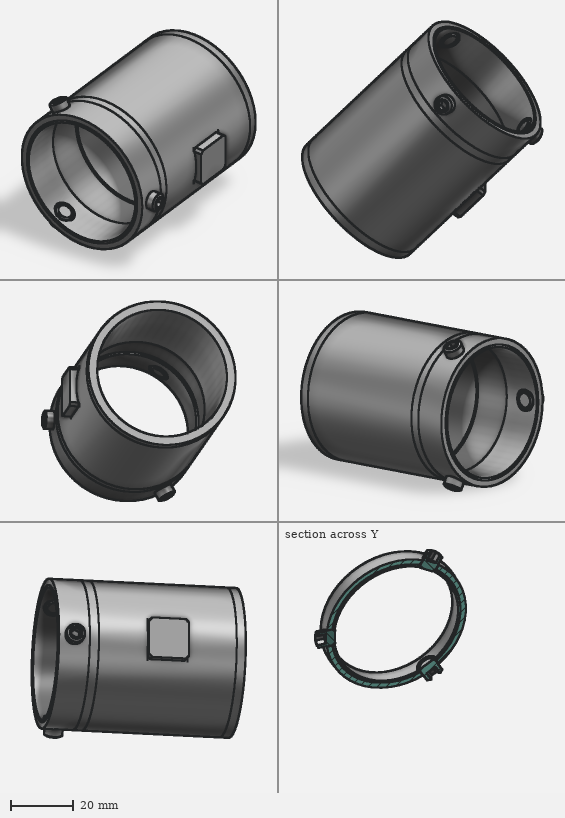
import cadquery as cq
import math

LENGTH = 61.0
OUTER_RADIUS = 24.15
SLEEVE_OUTER_RADIUS = 22.1
BORE_RADIUS = 21.3

COLLAR_LENGTH = 10.0
FLANGE_LENGTH = 3.0
REAR_SLEEVE_START = 26.2

SCREW_COUNT = 3
SCREW_RADIUS = 3.0
SCREW_LENGTH = 6.2
SCREW_TIP_DISTANCE = 27.2
SCREW_END_CHAMFER = 0.6
SCREW_CHAMFER_HEIGHT = 0.51
SCREW_CHAMFER_ANGLE = 30
SLEEVE_HOLE_RADIUS = 3.5
SCREW_Y = COLLAR_LENGTH / 2
SOCKET_ACROSS_FLATS = 3.0
SOCKET_DEPTH = 3.0
SOCKET_TURN = 30

PLATE_SIDE = 13.1
PLATE_CORNER = 1.05
PLATE_THICKNESS = 3.0
PLATE_SEAT_X = 23.2

BODY_START = COLLAR_LENGTH + FLANGE_LENGTH
BODY_END = LENGTH - FLANGE_LENGTH
PLATE_Y = (BODY_START + BODY_END) / 2
SCREW_END_DISTANCE = SCREW_TIP_DISTANCE - SCREW_LENGTH
SCREW_CHAMFER_WIDTH = SCREW_CHAMFER_HEIGHT / math.tan(math.radians(SCREW_CHAMFER_ANGLE))
SCREW_FACE_RADIUS = SCREW_RADIUS - SCREW_CHAMFER_WIDTH
SCREW_ANGLES = [index * 360 / SCREW_COUNT for index in range(SCREW_COUNT)]


def cylinder_along_y(radius, start, end):
    """A solid cylinder around the Y axis, between two places along it."""
    return cq.Workplane("XZ", origin=(0, start, 0)).circle(radius).extrude(start - end)


def ring(outer_radius, inner_radius, start, end):
    """A plain ring around the Y axis."""
    outer = cylinder_along_y(outer_radius, start, end)
    return outer.cut(cylinder_along_y(inner_radius, start, end))


def place_on_collar(shape, angle):
    """Move a shape from the +X side of the collar to another angle around the Y axis."""
    return shape.rotate((0, 0, 0), (0, 1, 0), angle)


def cut_screw_holes(body, hole_radius):
    """Drill the radial screw holes through the wall of a body."""
    hole = cq.Workplane("YZ").center(SCREW_Y, 0).circle(hole_radius).extrude(OUTER_RADIUS)
    for angle in SCREW_ANGLES:
        body = body.cut(place_on_collar(hole, angle))
    return body


def make_collar():
    """Front collar that slides over the front sleeve and carries the screws."""
    collar_ring = ring(OUTER_RADIUS, SLEEVE_OUTER_RADIUS, 0, COLLAR_LENGTH)
    return cut_screw_holes(collar_ring, SCREW_RADIUS)


def make_front_sleeve():
    """Thin sleeve inside the collar, with a flange between the collar and the main tube."""
    sleeve = ring(SLEEVE_OUTER_RADIUS, BORE_RADIUS, 0, BODY_START)
    flange = ring(OUTER_RADIUS, BORE_RADIUS, COLLAR_LENGTH, BODY_START)
    return cut_screw_holes(sleeve, SLEEVE_HOLE_RADIUS).union(flange)


def make_main_tube():
    """Main tube with a flat for the plate, milled straight across its +X side."""
    tube = ring(OUTER_RADIUS, SLEEVE_OUTER_RADIUS, BODY_START, BODY_END)
    seat = (
        cq.Workplane("YZ", origin=(PLATE_SEAT_X, PLATE_Y, 0))
        .rect(PLATE_SIDE, 2 * OUTER_RADIUS)
        .extrude(PLATE_THICKNESS)
    )
    return tube.cut(seat)


def make_rear_sleeve():
    """Thin sleeve inside the main tube, with a flange that closes the rear end of the tube."""
    sleeve = ring(SLEEVE_OUTER_RADIUS, BORE_RADIUS, REAR_SLEEVE_START, LENGTH)
    flange = ring(OUTER_RADIUS, BORE_RADIUS, BODY_END, LENGTH)
    return sleeve.union(flange)


def make_plate():
    """Square plate with cut corners, standing on the seat of the main tube."""
    return (
        cq.Workplane("YZ", origin=(PLATE_SEAT_X, PLATE_Y, 0))
        .rect(PLATE_SIDE, PLATE_SIDE)
        .extrude(PLATE_THICKNESS)
        .edges("|X")
        .chamfer(PLATE_CORNER)
    )


def make_screw(angle):
    """Set screw with both ends chamfered and a hexagon socket in its outer end."""
    hexagon_diameter = SOCKET_ACROSS_FLATS / math.cos(math.pi / 6)
    blank = (
        cq.Workplane("XY", origin=(0, SCREW_Y, 0))
        .polyline(
            [
                (SCREW_END_DISTANCE, 0),
                (SCREW_END_DISTANCE, SCREW_RADIUS - SCREW_END_CHAMFER),
                (SCREW_END_DISTANCE + SCREW_END_CHAMFER, SCREW_RADIUS),
                (SCREW_TIP_DISTANCE - SCREW_CHAMFER_HEIGHT, SCREW_RADIUS),
                (SCREW_TIP_DISTANCE, SCREW_FACE_RADIUS),
                (SCREW_TIP_DISTANCE, 0),
            ]
        )
        .close()
        .revolve(360, (0, 0, 0), (1, 0, 0))
    )
    socket = (
        cq.Workplane("YZ", origin=(SCREW_TIP_DISTANCE, SCREW_Y, 0))
        .transformed(rotate=(0, 0, SOCKET_TURN))
        .polygon(6, hexagon_diameter)
        .extrude(-SOCKET_DEPTH)
    )
    return place_on_collar(blank.cut(socket), angle)


collar = make_collar()
front_sleeve = make_front_sleeve()
main_tube = make_main_tube()
rear_sleeve = make_rear_sleeve()
plate = make_plate()
screws = [make_screw(angle) for angle in SCREW_ANGLES]

result = cq.Compound.makeCompound(
    [
        collar.val(),
        front_sleeve.val(),
        main_tube.val(),
        rear_sleeve.val(),
        plate.val(),
        *[screw.val() for screw in screws],
    ]
)